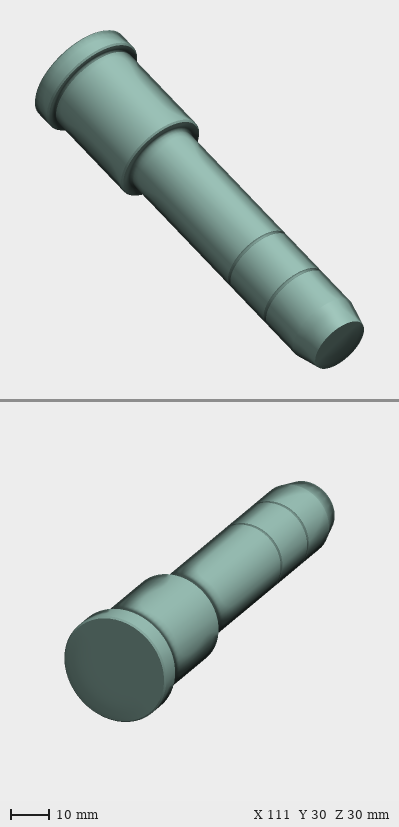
import cadquery as cq
import math

LENGTH = 111.0
HEAD_RADIUS = 30.0 / 2
BODY_RADIUS = 26.0 / 2
SHANK_RADIUS = 20.0 / 2

HEAD_LENGTH = 6.0
BODY_END = 35.0
EDGE_CHAMFER = 0.4
SHOULDER_FILLET = 0.7

GROOVE_WIDTH = 1.0
GROOVE_DEPTH = 0.4
SHANK_GROOVE_STARTS = (76.3, 91.5)
UNDERCUT_WIDTH = 0.9

TIP_LENGTH = 7.0
TIP_ANGLE = 15.0


def cylinder(start, end, radius):
    """Solid cylinder along X between two positions."""
    return cq.Workplane("YZ", origin=(start, 0, 0)).circle(radius).extrude(end - start)


def round_groove(start, width, surface_radius):
    """Ring to cut away, leaving an arc-bottomed groove in a cylinder."""
    return (
        cq.Workplane("XY")
        .moveTo(start, surface_radius)
        .threePointArc(
            (start + width / 2, surface_radius - GROOVE_DEPTH),
            (start + width, surface_radius),
        )
        .close()
        .revolve(360, (0, 0, 0), (1, 0, 0))
    )


def tapered_shank():
    """Shank from the shoulder to the conical lead-in tip."""
    tip_start = LENGTH - TIP_LENGTH
    tip_radius = SHANK_RADIUS - TIP_LENGTH * math.tan(math.radians(TIP_ANGLE))
    return (
        cq.Workplane("XY")
        .moveTo(BODY_END, 0)
        .lineTo(BODY_END, SHANK_RADIUS)
        .lineTo(tip_start, SHANK_RADIUS)
        .lineTo(LENGTH, tip_radius)
        .lineTo(LENGTH, 0)
        .close()
        .revolve(360, (0, 0, 0), (1, 0, 0))
    )


def shoulder_fillet():
    """Concave ring blending the shoulder face into the shank."""
    size = SHOULDER_FILLET
    mid = size * (1 - math.sqrt(0.5))
    return (
        cq.Workplane("XY")
        .moveTo(BODY_END, SHANK_RADIUS)
        .lineTo(BODY_END, SHANK_RADIUS + size)
        .threePointArc(
            (BODY_END + mid, SHANK_RADIUS + mid),
            (BODY_END + size, SHANK_RADIUS),
        )
        .close()
        .revolve(360, (0, 0, 0), (1, 0, 0))
    )


head = cylinder(0, HEAD_LENGTH, HEAD_RADIUS).edges().chamfer(EDGE_CHAMFER)
body = cylinder(HEAD_LENGTH, BODY_END, BODY_RADIUS).faces(">X").edges().chamfer(EDGE_CHAMFER)
result = head.union(body).union(tapered_shank()).union(shoulder_fillet())

result = result.cut(round_groove(HEAD_LENGTH, UNDERCUT_WIDTH, BODY_RADIUS))
for groove_start in SHANK_GROOVE_STARTS:
    result = result.cut(round_groove(groove_start, GROOVE_WIDTH, SHANK_RADIUS))